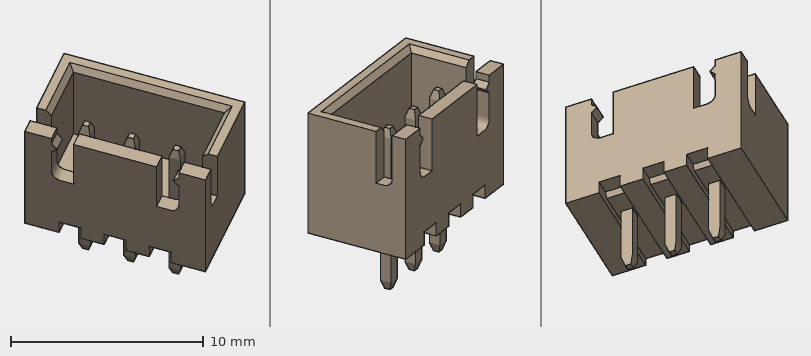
import cadquery as cq

LENGTH = 10.0
WIDTH = 5.91
TOTAL_HEIGHT = 10.4
HEIGHT = 7.0
WALL = 0.82
FRONT_WALL = 0.81
FLOOR = 2.0
RIM_CHAMFER = 0.31

SLOT_DEPTH = 3.02
SLOT_FILLET = 0.5
FRONT_SLOT_INNER = 2.3
FRONT_SLOT_OUTER = 3.53
SIDE_SLOT_WIDTH = 0.98

TOOTH_SIZE = 0.31
TOOTH_DEPTH = 0.72

PIN_COUNT = 3
PIN_PITCH = 2.5
PIN_SIZE = 0.65
PIN_TIP_SIZE = PIN_SIZE / 2
PIN_TAPER = 0.5
PIN_TOP_DEPTH = 1.0
PIN_FROM_FRONT = 2.5

NOTCH_WIDTH = 1.21
NOTCH_HEIGHT = 0.47
NOTCH_FRONT_HEIGHT = 0.78
NOTCH_BEVEL_RUN = 0.18

FRONT_Y = -WIDTH / 2
BACK_Y = WIDTH / 2
PIN_Y = FRONT_Y + PIN_FROM_FRONT
PIN_BOTTOM = HEIGHT - TOTAL_HEIGHT
PIN_TOP = HEIGHT - PIN_TOP_DEPTH
SLOT_BOTTOM = HEIGHT - SLOT_DEPTH
CAVITY_LENGTH = LENGTH - 2 * WALL
CAVITY_FRONT = FRONT_Y + FRONT_WALL
CAVITY_BACK = BACK_Y - WALL
PIN_POSITIONS = [(i - (PIN_COUNT - 1) / 2) * PIN_PITCH for i in range(PIN_COUNT)]


def block(x_range, y_range, z_range):
    """Box spanning the given (low, high) range on each axis."""
    low = (x_range[0], y_range[0], z_range[0])
    size = (x_range[1] - x_range[0], y_range[1] - y_range[0], z_range[1] - z_range[0])
    return cq.Workplane("XY").box(*size, centered=False).translate(low)


def cavity():
    """Inner space, flared at the rim along the two ends and the back."""
    half = CAVITY_LENGTH / 2
    space = block((-half, half), (CAVITY_FRONT, CAVITY_BACK), (FLOOR, HEIGHT))
    flare_length = CAVITY_LENGTH + 2 * RIM_CHAMFER
    flare_back = CAVITY_BACK + RIM_CHAMFER
    flare = (
        cq.Workplane("XY", origin=(0, 0, HEIGHT - RIM_CHAMFER))
        .rect(CAVITY_LENGTH, 2 * CAVITY_BACK)
        .workplane(offset=RIM_CHAMFER)
        .rect(flare_length, 2 * flare_back)
        .loft(ruled=True)
    )
    behind_front_wall = block(
        (-LENGTH / 2, LENGTH / 2), (CAVITY_FRONT, BACK_Y), (FLOOR, HEIGHT)
    )
    return space.union(flare.intersect(behind_front_wall))


def side_slot():
    """Slot through both end walls, rounded at the bottom next to the front wall."""
    slot = block(
        (-LENGTH / 2, LENGTH / 2),
        (CAVITY_FRONT, CAVITY_FRONT + SIDE_SLOT_WIDTH),
        (SLOT_BOTTOM, HEIGHT),
    )
    return slot.edges("<Y and <Z").fillet(SLOT_FILLET)


def front_slot():
    """Slot through the front wall on the +X side, with a latch tooth on its far edge."""
    slot = block(
        (FRONT_SLOT_INNER, FRONT_SLOT_OUTER), (FRONT_Y, CAVITY_FRONT), (SLOT_BOTTOM, HEIGHT)
    )
    slot = slot.edges(">X and <Z").fillet(SLOT_FILLET)
    tip_z = HEIGHT - TOOTH_DEPTH
    tooth = (
        cq.Workplane("XZ", origin=(0, FRONT_Y, 0))
        .moveTo(FRONT_SLOT_OUTER, tip_z - TOOTH_SIZE)
        .lineTo(FRONT_SLOT_OUTER - TOOTH_SIZE, tip_z)
        .lineTo(FRONT_SLOT_OUTER, tip_z + TOOTH_SIZE)
        .close()
        .extrude(-FRONT_WALL)
    )
    return slot.cut(tooth)


def notch(x):
    """Notch through the underside from front to back, taller under the front wall."""
    return (
        cq.Workplane("YZ", origin=(x - NOTCH_WIDTH / 2, 0, 0))
        .moveTo(FRONT_Y, 0)
        .lineTo(FRONT_Y, NOTCH_FRONT_HEIGHT)
        .lineTo(CAVITY_FRONT, NOTCH_FRONT_HEIGHT)
        .lineTo(CAVITY_FRONT + NOTCH_BEVEL_RUN, NOTCH_HEIGHT)
        .lineTo(BACK_Y, NOTCH_HEIGHT)
        .lineTo(BACK_Y, 0)
        .close()
        .extrude(NOTCH_WIDTH)
    )


def pin(x):
    """Square pin tapered at both ends."""
    shank_bottom = PIN_BOTTOM + PIN_TAPER
    shank_top = PIN_TOP - PIN_TAPER
    body = (
        cq.Workplane("XY", origin=(x, PIN_Y, shank_bottom))
        .rect(PIN_SIZE, PIN_SIZE)
        .extrude(shank_top - shank_bottom)
    )
    for base_z, direction in ((shank_bottom, -1), (shank_top, 1)):
        tip = (
            cq.Workplane("XY", origin=(x, PIN_Y, base_z))
            .rect(PIN_SIZE, PIN_SIZE)
            .workplane(offset=direction * PIN_TAPER)
            .rect(PIN_TIP_SIZE, PIN_TIP_SIZE)
            .loft(ruled=True)
        )
        body = body.union(tip)
    return body


housing = cq.Workplane("XY").box(LENGTH, WIDTH, HEIGHT, centered=(True, True, False))
housing = housing.cut(cavity()).cut(side_slot())
housing = housing.cut(front_slot()).cut(front_slot().mirror("YZ"))

for pin_x in PIN_POSITIONS:
    housing = housing.cut(notch(pin_x)).union(pin(pin_x))

result = housing